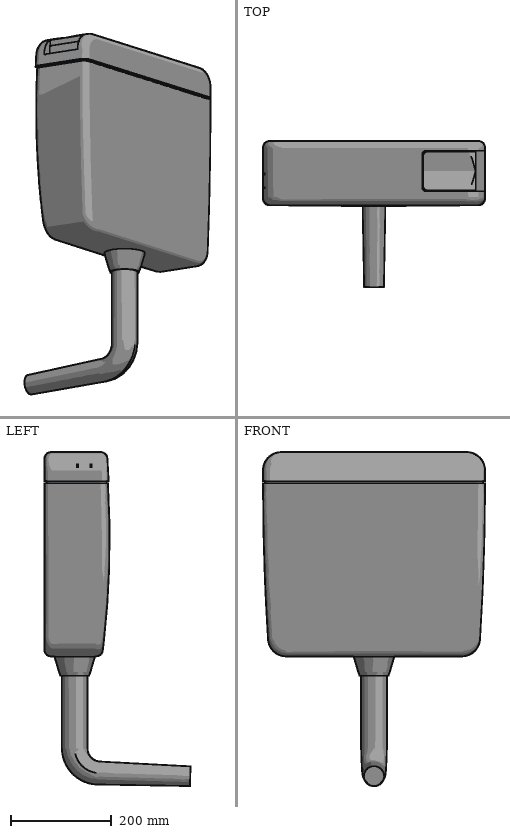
import cadquery as cq
import math


width = 441.0
height = 663.0
reach = 290.0

tank_bottom_z = 257.0
tank_top_z = 601.0
bottom_width = 416.0
side_bulge_z = 424.0
side_bulge_width = 434.0
corner_radius = 37.0
edge_radius = 14.0
crest_depth = 130.0
crest_z = 490.5
dome_radius = 1789.5
dome_rise = 2.5
dome_sweep = 30

gap_height = 4.0
gap_depth = 4.0

lid_depth = 128.0
lid_top_depth = 124.5
lid_bottom_z = tank_top_z + gap_height
mark_height = 6.0
mark_width = 2.5
mark_depth = 3.0
mark_z = 635.5
mark_places = (-65.5, -93.0)

button_left_x = 97.5
button_right_x = 202.0
button_width = 77.0
button_middle_y = -59.5
button_corner_radius = 8.5
button_dish_depth = 4.5
button_clearance = 2.0
button_seat_z = 646.0
shelf_z = 626.0

outlet_y = -60.0
funnel_top_diameter = 81.0
funnel_bottom_diameter = 63.0
funnel_bottom_z = 227.0
lip_diameter = 57.0
lip_height = 8.0
lip_z = funnel_bottom_z - lip_height

pipe_diameter = 52.0
leg_start_diameter = 46.5
leg_end_diameter = 40.0
bend_radius = 49.0
leg_slope = math.radians(2)


def make_tank_block():
    """Front outline with curved sides, closed at the front by a dome."""
    block = (
        cq.Workplane("XZ")
        .moveTo(-bottom_width / 2, tank_bottom_z)
        .lineTo(bottom_width / 2, tank_bottom_z)
        .threePointArc((side_bulge_width / 2, side_bulge_z), (width / 2, tank_top_z))
        .lineTo(-width / 2, tank_top_z)
        .threePointArc((-side_bulge_width / 2, side_bulge_z), (-bottom_width / 2, tank_bottom_z))
        .close()
        .extrude(2 * crest_depth)
        .edges("|Y and <Z")
        .fillet(corner_radius)
    )
    overhang = width
    side_depth = crest_depth - 4 * dome_rise
    axis_y = dome_radius - crest_depth
    dome = (
        cq.Workplane("XY", origin=(0, 0, crest_z))
        .moveTo(-overhang, crest_depth)
        .lineTo(-overhang, -side_depth)
        .threePointArc((0, -crest_depth), (overhang, -side_depth))
        .lineTo(overhang, crest_depth)
        .close()
        .revolve(dome_sweep, (0, axis_y, 0), (1, axis_y, 0))
        .rotate((0, axis_y, crest_z), (1, axis_y, crest_z), -dome_sweep / 2)
    )
    return block.intersect(dome)


def make_tank():
    """Rounded tank with the neck that carries the lid and the outlet funnel."""
    tank = make_tank_block()
    tank = tank.faces("<Y or >Y").edges("not(>Z)").fillet(edge_radius)

    neck = (
        cq.Workplane("XY", origin=(0, -lid_depth / 2, tank_top_z))
        .box(width - 2 * gap_depth, lid_depth - 2 * gap_depth, gap_height, centered=(True, True, False))
        .edges("|Z")
        .fillet(edge_radius)
    )
    tank = tank.union(neck)

    funnel_root_z = tank_bottom_z + edge_radius
    half_profile = [
        (0, funnel_root_z),
        (funnel_top_diameter / 2, funnel_root_z),
        (funnel_top_diameter / 2, tank_bottom_z),
        (funnel_bottom_diameter / 2, funnel_bottom_z),
        (lip_diameter / 2, lip_z),
        (0, lip_z),
    ]
    funnel = (
        cq.Workplane("XZ", origin=(0, outlet_y, 0))
        .polyline(half_profile)
        .close()
        .revolve(360, (0, 0, 0), (0, 1, 0))
    )
    return tank.union(funnel)


def make_lid_block():
    """Lid with all its roundings, before the button recess is cut."""
    side_profile = [
        (0, lid_bottom_z),
        (-lid_depth, lid_bottom_z),
        (-lid_top_depth, height),
        (0, height),
    ]
    return (
        cq.Workplane("YZ")
        .polyline(side_profile)
        .close()
        .extrude(width / 2, both=True)
        .edges("|Y and >Z")
        .fillet(corner_radius)
        .faces("<Y or >Y")
        .edges("not(<Z)")
        .fillet(edge_radius)
    )


def make_button_prism(growth):
    """Button plan from its seat upward, widened by growth on the left and both long sides."""
    length = button_right_x - button_left_x + growth
    return (
        cq.Workplane("XY", origin=(button_right_x - length / 2, button_middle_y, button_seat_z))
        .rect(length, button_width + 2 * growth)
        .extrude(height - button_seat_z)
        .edges("|Z and <X")
        .fillet(button_corner_radius)
    )


def make_lid():
    """Lid with the button recess, the shelf beside it and two slits."""
    lid = make_lid_block().cut(make_button_prism(button_clearance))
    shelf_cut = (
        cq.Workplane("XY", origin=(button_right_x, button_middle_y, shelf_z))
        .box(width, button_width + 2 * button_clearance, height, centered=(False, True, False))
    )
    lid = lid.cut(shelf_cut)
    rise = mark_z - (height - corner_radius)
    surface_x = -width / 2 + corner_radius - math.sqrt(corner_radius**2 - rise**2)
    for mark_y in mark_places:
        slit = (
            cq.Workplane("XY", origin=(surface_x, mark_y, mark_z))
            .box(2 * mark_depth, mark_width, mark_height)
        )
        lid = lid.cut(slit)
    return lid


def make_button():
    """Top follows the lid and is dished by a shallow V along X."""
    button = make_button_prism(0).intersect(make_lid_block())
    dish = (
        cq.Workplane("YZ")
        .moveTo(button_middle_y - button_width / 2, height)
        .lineTo(button_middle_y, height - button_dish_depth)
        .lineTo(button_middle_y + button_width / 2, height)
        .close()
        .extrude(width)
    )
    return button.cut(dish)


def make_flush_pipe():
    """Straight drop, narrowing bend and a tapered leg that falls gently forward."""
    end_y = -reach + leg_end_diameter / 2 * math.sin(leg_slope)
    end_z = leg_end_diameter / 2 * math.cos(leg_slope)
    bend_centre_y = outlet_y - bend_radius
    leg_start_y = bend_centre_y + bend_radius * math.sin(leg_slope)
    leg_run = leg_start_y - end_y
    leg_length = leg_run / math.cos(leg_slope)
    leg_start_z = end_z + leg_run * math.tan(leg_slope)
    bend_top_z = leg_start_z + bend_radius * math.cos(leg_slope)

    drop = (
        cq.Workplane("XY", origin=(0, outlet_y, bend_top_z))
        .circle(pipe_diameter / 2)
        .extrude(lip_z - bend_top_z)
    )

    half_turn = (math.pi / 2 - leg_slope) / 2
    bend_middle = (
        bend_centre_y + bend_radius * math.cos(half_turn),
        bend_top_z - bend_radius * math.sin(half_turn),
    )
    path = (
        cq.Workplane("YZ")
        .moveTo(outlet_y, bend_top_z)
        .threePointArc(bend_middle, (leg_start_y, leg_start_z))
    )
    leg_plane = cq.Plane(
        origin=(0, leg_start_y, leg_start_z),
        xDir=(1, 0, 0),
        normal=(0, -math.cos(leg_slope), -math.sin(leg_slope)),
    )
    bend_top = cq.Vector(0, outlet_y, bend_top_z)
    bend_start = cq.Wire.makeCircle(pipe_diameter / 2, bend_top, cq.Vector(0, 0, -1))
    bend_end = cq.Wire.makeCircle(leg_start_diameter / 2, leg_plane.origin, leg_plane.zDir)
    bend = cq.Solid.sweep_multi([bend_start, bend_end], path.val())

    leg = (
        cq.Workplane(leg_plane)
        .circle(leg_start_diameter / 2)
        .workplane(offset=leg_length)
        .circle(leg_end_diameter / 2)
        .loft()
    )
    return drop.union(cq.Workplane(bend)).union(leg)


tank = make_tank().solids()
lid = make_lid().solids()
button = make_button().solids()
flush_pipe = make_flush_pipe().solids()

result = cq.Compound.makeCompound([tank.val(), lid.val(), button.val(), flush_pipe.val()])